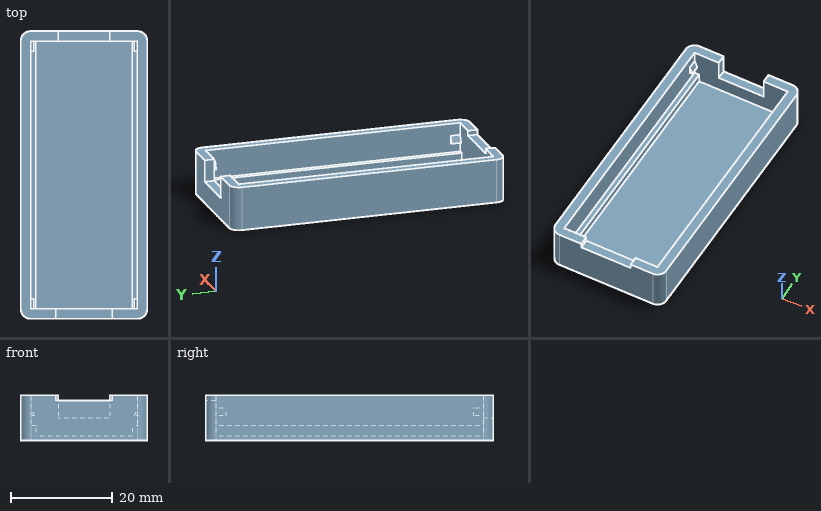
import cadquery as cq

length = 57.0
width = 25.1
height = 9.0
wall = 2.0
floor = 1.0

ledge_width = 1.0
ledge_height = 2.0

front_notch_width = 11.2
front_notch_depth = 1.0
back_notch_width = 10.15
back_notch_depth = 4.5

clip_length = 2.0
clip_reach = 0.6
clip_drop = 2.5
clip_height = 1.5

inner_length = length - 2 * wall
inner_width = width - 2 * wall


def make_tray():
    """Open box with rounded vertical corners, standing on Z = 0."""
    outer = cq.Workplane("XY").box(width, length, height, centered=(True, True, False))
    outer = outer.edges("|Z").fillet(wall)
    cavity = (
        cq.Workplane("XY", origin=(0, 0, floor))
        .box(inner_width, inner_length, height, centered=(True, True, False))
    )
    return outer.cut(cavity)


def make_ledge(side):
    """Step along the long wall on the given X side (-1 or 1)."""
    center_x = side * (inner_width - ledge_width) / 2
    return (
        cq.Workplane("XY", origin=(center_x, 0, floor))
        .box(ledge_width, inner_length, ledge_height, centered=(True, True, False))
    )


def make_clip(side, end):
    """Flat-bottomed triangular wedge on a long wall, touching the end wall on the given Y side."""
    wall_x = side * inner_width / 2
    top_z = height - clip_drop
    center_y = end * (inner_length - clip_length) / 2
    return (
        cq.Workplane("XZ", origin=(0, center_y, 0))
        .moveTo(wall_x, top_z)
        .lineTo(wall_x - side * clip_reach, top_z - clip_height)
        .lineTo(wall_x, top_z - clip_height)
        .close()
        .extrude(clip_length / 2, both=True)
    )


def make_notch(end, notch_width, notch_depth):
    """Cutter for an opening in the top edge of one end wall."""
    center_y = end * (length - wall) / 2
    return (
        cq.Workplane("XY", origin=(0, center_y, height - notch_depth))
        .box(notch_width, wall, notch_depth, centered=(True, True, False))
    )


result = make_tray()
for side in (-1, 1):
    result = result.union(make_ledge(side))
    for end in (-1, 1):
        result = result.union(make_clip(side, end))
result = result.cut(make_notch(-1, front_notch_width, front_notch_depth))
result = result.cut(make_notch(1, back_notch_width, back_notch_depth))